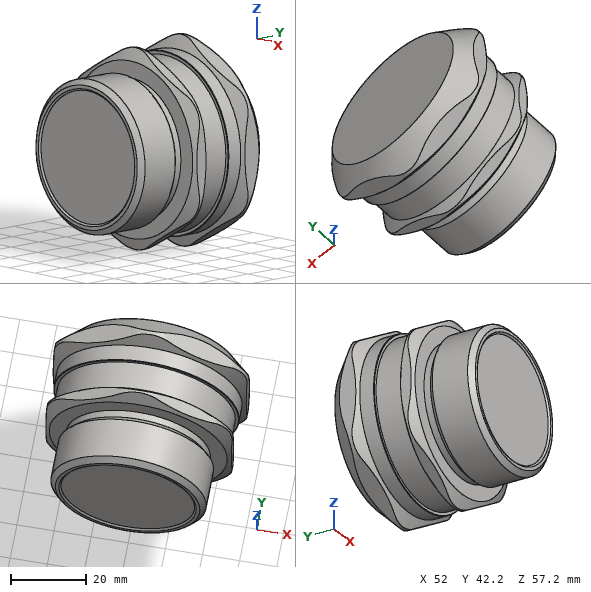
import cadquery as cq
import math


total_length = 42.15
thread_length = 16.0
body_hex_thickness = 4.5
collar_start = 12.15
nut_start = 16.65
thread_tip = -thread_length
nut_end = total_length - thread_length

thread_diameter = 41.91
root_diameter = 38.95
relief_width = 2.0
thread_chamfer = (thread_diameter - root_diameter) / 2

recess_mouth_diameter = 37.0
recess_floor_diameter = 36.0
recess_depth = 0.5

body_diameter = 48.0
collar_diameter = 50.0
collar_edge_chamfer = 0.15
hex_sides = 6
body_hex_flats = 50.0
body_hex_corner_radius = 10.0
nut_flats = 52.0
nut_corner_radius = 9.2
nut_end_diameter = 44.5
hex_chamfer_angle = 30.0
nut_end_angle = 45.0


def revolve_profile(points):
    """Turn an outline of (radius, y) points about the Y axis."""
    return cq.Workplane("XY").polyline(points).close().revolve(360, (0, 0, 0), (0, 1, 0))


def cylinder(diameter, start, end):
    radius = diameter / 2
    return revolve_profile([(0, start), (radius, start), (radius, end), (0, end)])


def chamfered_hexagon(flats, corner_radius, start, end, start_cone, end_cone):
    """Rounded hexagon with flats facing +-X, trimmed by a cone at each end.

    Each cone is (end-face diameter, angle of the cone from the end face).
    """
    corner_diameter = flats / math.cos(math.pi / hex_sides)
    prism = (
        cq.Workplane("XZ", origin=(0, start, 0))
        .transformed(rotate=(0, 0, 90))
        .polygon(hex_sides, corner_diameter)
        .extrude(start - end)
        .edges("|Y")
        .fillet(corner_radius)
    )
    start_radius = start_cone[0] / 2
    end_radius = end_cone[0] / 2
    start_slope = math.tan(math.radians(start_cone[1]))
    end_slope = math.tan(math.radians(end_cone[1]))
    meeting_radius = (
        (end - start + start_radius * start_slope + end_radius * end_slope)
        / (start_slope + end_slope)
    )
    meeting_station = start + (meeting_radius - start_radius) * start_slope
    envelope = revolve_profile([
        (0, start),
        (start_radius, start),
        (meeting_radius, meeting_station),
        (end_radius, end),
        (0, end),
    ])
    return prism.intersect(envelope)


def threaded_end():
    root_radius = root_diameter / 2
    thread_radius = thread_diameter / 2
    relief_start = -relief_width
    return revolve_profile([
        (0, thread_tip),
        (root_radius, thread_tip),
        (thread_radius, thread_tip + thread_chamfer),
        (thread_radius, relief_start - thread_chamfer),
        (root_radius, relief_start),
        (root_radius, 0),
        (0, 0),
    ])


def recess():
    floor = thread_tip + recess_depth
    return revolve_profile([
        (0, thread_tip),
        (recess_mouth_diameter / 2, thread_tip),
        (recess_floor_diameter / 2, floor),
        (0, floor),
    ])


def collar():
    ring = cylinder(collar_diameter, collar_start, nut_start)
    return ring.faces("<Y").chamfer(collar_edge_chamfer)


body_hexagon = chamfered_hexagon(
    body_hex_flats,
    body_hex_corner_radius,
    0,
    body_hex_thickness,
    (body_diameter, hex_chamfer_angle),
    (body_diameter, hex_chamfer_angle),
)
nut = chamfered_hexagon(
    nut_flats,
    nut_corner_radius,
    nut_start,
    nut_end,
    (collar_diameter, hex_chamfer_angle),
    (nut_end_diameter, nut_end_angle),
)
body = cylinder(body_diameter, body_hex_thickness, collar_start)

result = threaded_end().union(body_hexagon).union(body).union(collar()).union(nut).cut(recess())